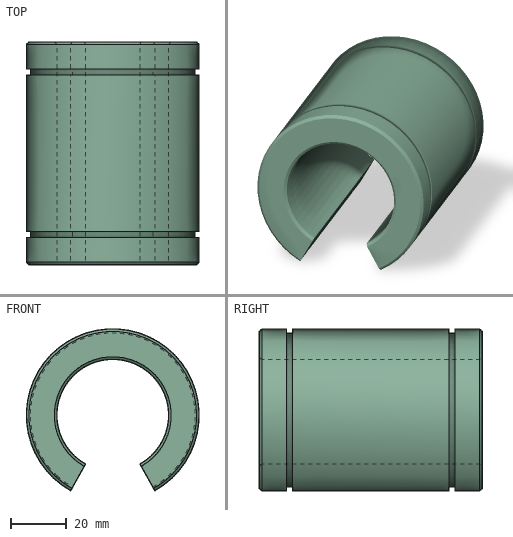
import cadquery as cq
import math

length = 80.0
outer_diameter = 62.0
bore_diameter = 40.0
end_chamfer = 1.0

groove_diameter = 59.0
groove_width = 2.2
groove_end_distance = 9.8

opening_angle = 58.2

outer_radius = outer_diameter / 2
bore_radius = bore_diameter / 2


def make_sleeve():
    """Plain tube with chamfered outer and bore edges at both ends."""
    tube = (
        cq.Workplane("XZ")
        .circle(outer_radius)
        .circle(bore_radius)
        .extrude(length / 2, both=True)
    )
    return tube.faces("<Y or >Y").edges().chamfer(end_chamfer)


def make_groove_ring(center_y):
    """Ring of material removed by one groove, centred at center_y."""
    return (
        cq.Workplane("XZ", origin=(0, center_y, 0))
        .circle(outer_diameter)
        .circle(groove_diameter / 2)
        .extrude(groove_width / 2, both=True)
    )


def make_opening():
    """Wedge with its apex on the sleeve axis, running the full length."""
    wedge_depth = outer_diameter
    half_width = wedge_depth * math.tan(math.radians(opening_angle / 2))
    return (
        cq.Workplane("XZ")
        .polyline([(0, 0), (-half_width, -wedge_depth), (half_width, -wedge_depth)])
        .close()
        .extrude(length, both=True)
    )


result = make_sleeve()
groove_center = length / 2 - groove_end_distance - groove_width / 2
for side in (-1, 1):
    result = result.cut(make_groove_ring(side * groove_center))
result = result.cut(make_opening())